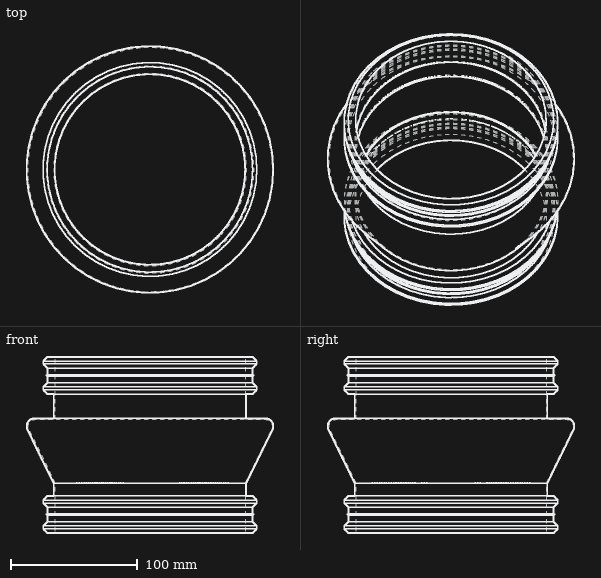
import cadquery as cq
import math

total_height = 138.9
bore_radius = 150.0 / 2
wall = 0.91
tube_radius = bore_radius + wall

rim_radius = 168.5 / 2
groove_radius = 161.8 / 2
rim_chamfer = rim_radius - groove_radius
rim_land = 2.3
rim_height = 2 * rim_chamfer + rim_land
collar_height = 29.4
ridge_width = 1.2
ridge_height = 0.8

shoulder_radius = 97.3
shoulder_round = 6.2
shoulder_top = 90.5
cone_foot = 39.3
round_center_r = shoulder_radius - shoulder_round
round_center_z = shoulder_top - shoulder_round

center_offset_r = round_center_r - tube_radius
center_offset_z = round_center_z - cone_foot
center_distance = math.hypot(center_offset_r, center_offset_z)
cone_angle = math.atan2(center_offset_r, center_offset_z) + math.asin(shoulder_round / center_distance)


def revolve_profile(profile):
    """Revolve a closed profile, drawn as (radius, height), about the Z axis."""
    return profile.close().revolve(360, (0, 0, 0), (0, 1, 0))


def make_rim(base):
    """Ring chamfered on both outer edges, standing on height base."""
    return revolve_profile(
        cq.Workplane("XZ")
        .moveTo(bore_radius, base)
        .lineTo(groove_radius, base)
        .lineTo(rim_radius, base + rim_chamfer)
        .lineTo(rim_radius, base + rim_chamfer + rim_land)
        .lineTo(groove_radius, base + rim_height)
        .lineTo(bore_radius, base + rim_height)
    )


def make_sleeve(base):
    """Plain ring with the groove's radius, standing on height base."""
    base_plane = cq.Workplane("XY").workplane(offset=base)
    return base_plane.circle(groove_radius).circle(bore_radius).extrude(collar_height)


def make_ridge(middle):
    """Ring with a pointed outer edge at height middle."""
    half_width = ridge_width / 2
    return revolve_profile(
        cq.Workplane("XZ")
        .moveTo(bore_radius, middle - half_width)
        .lineTo(groove_radius, middle - half_width)
        .lineTo(groove_radius + ridge_height, middle)
        .lineTo(groove_radius, middle + half_width)
        .lineTo(bore_radius, middle + half_width)
    )


def make_collar(base):
    """Grooved collar: sleeve, a rim at each end and the middle ridge."""
    return (
        make_sleeve(base)
        .union(make_rim(base))
        .union(make_rim(base + collar_height - rim_height))
        .union(make_ridge(base + collar_height / 2))
    )


def round_point(radius, angle):
    """Point on a shoulder round at an angle above the horizontal."""
    return (
        round_center_r + radius * math.cos(angle),
        round_center_z + radius * math.sin(angle),
    )


def make_flare(inset, base, top):
    """Solid of the flared shape, shrunk inwards by inset, with straight necks to base and top."""
    neck = tube_radius - inset
    foot = cone_foot + inset * math.tan(cone_angle / 2)
    radius = shoulder_round - inset
    arc_start = -cone_angle
    arc_end = math.pi / 2
    return revolve_profile(
        cq.Workplane("XZ")
        .moveTo(0, base)
        .lineTo(neck, base)
        .lineTo(neck, foot)
        .lineTo(*round_point(radius, arc_start))
        .threePointArc(round_point(radius, (arc_start + arc_end) / 2), round_point(radius, arc_end))
        .lineTo(neck, shoulder_top - inset)
        .lineTo(neck, top)
        .lineTo(0, top)
    )


def make_shell():
    """Thin flared tube with the lower collar formed on its bottom end."""
    base = collar_height
    top = total_height - collar_height
    tube = make_flare(0, base, top).cut(make_flare(wall, base, top))
    return tube.union(make_collar(0))


shell = make_shell()
upper_collar = make_collar(total_height - collar_height)

result = cq.Compound.makeCompound([shell.val(), upper_collar.val()])